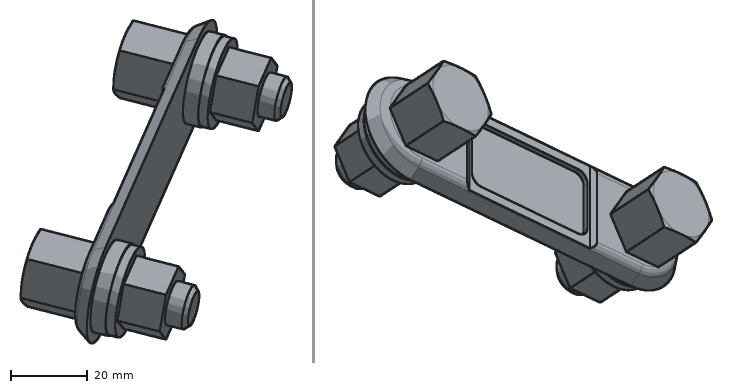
import cadquery as cq
import math

plate_length = 107.0
plate_width = 31.0
plate_front = 15.6
plate_thickness = 4.6
plate_back = plate_front + plate_thickness
bevel_angle = 34.0
rim_fillet = 2.9
bolt_spacing = plate_length - plate_width

step_depth = 1.0
step_floor_length = 41.6
step_slope_run = 1.6

window_length = 39.8
window_height = 20.3
window_corner = 3.2
window_depth = 1.5

head_flats = 19.0
head_chamfer = 0.4
nut_flats = 18.0
nut_end = 38.6
stud_diameter = 12.0
stud_end = 44.5
stud_chamfer = 1.3
seal_diameter = 25.0
seal_thickness = 4.2
washer_diameter = 24.5
washer_thickness = 2.6


def plane_at(x):
    """Plane facing +X whose local axes follow Y and Z."""
    return cq.Workplane("YZ", origin=(x, 0, 0))


def hexagon(flats, start, end):
    """Hexagonal prism along X, with two corners pointing along Y."""
    corner_diameter = flats / math.cos(math.pi / 6)
    return plane_at(start).polygon(6, corner_diameter).extrude(end - start)


def cylinder(diameter, start, end):
    return plane_at(start).circle(diameter / 2).extrude(end - start)


def make_plate():
    plate = (
        cq.Workplane("YZ", origin=(plate_back, 0, 0))
        .slot2D(plate_length, plate_width)
        .extrude(-plate_thickness, taper=bevel_angle)
        .faces("<X").edges().fillet(rim_fillet)
    )
    floor = plate_front + step_depth
    half_floor = step_floor_length / 2
    half_opening = half_floor + step_slope_run
    step = (
        cq.Workplane("XY")
        .polyline([
            (plate_front, -half_opening),
            (floor, -half_floor),
            (floor, half_floor),
            (plate_front, half_opening),
        ])
        .close()
        .extrude(plate_width / 2, both=True)
    )
    window = (
        plane_at(floor)
        .rect(window_length, window_height)
        .extrude(window_depth)
        .edges("|X").fillet(window_corner)
    )
    return plate.cut(step).cut(window)


def make_bolt():
    """Head, seal, washer, nut and stud stacked along the X axis."""
    head_corners = head_flats / math.cos(math.pi / 6)
    head_trim_run = (head_corners - head_flats) / 2
    head_blank = (
        cylinder(head_corners, 0, plate_back)
        .faces("<X").chamfer(head_chamfer, head_trim_run)
    )
    head = hexagon(head_flats, 0, plate_back).intersect(head_blank)

    seal_end = plate_back + seal_thickness
    washer_end = seal_end + washer_thickness
    seal = cylinder(seal_diameter, plate_back, seal_end)
    washer = cylinder(washer_diameter, seal_end, washer_end)
    nut = hexagon(nut_flats, washer_end, nut_end)
    stud = cylinder(stud_diameter, nut_end, stud_end).faces(">X").chamfer(stud_chamfer)
    return head.union(seal).union(washer).union(nut).union(stud)


result = make_plate()
for side in (-1, 1):
    result = result.union(make_bolt().translate((0, side * bolt_spacing / 2, 0)))